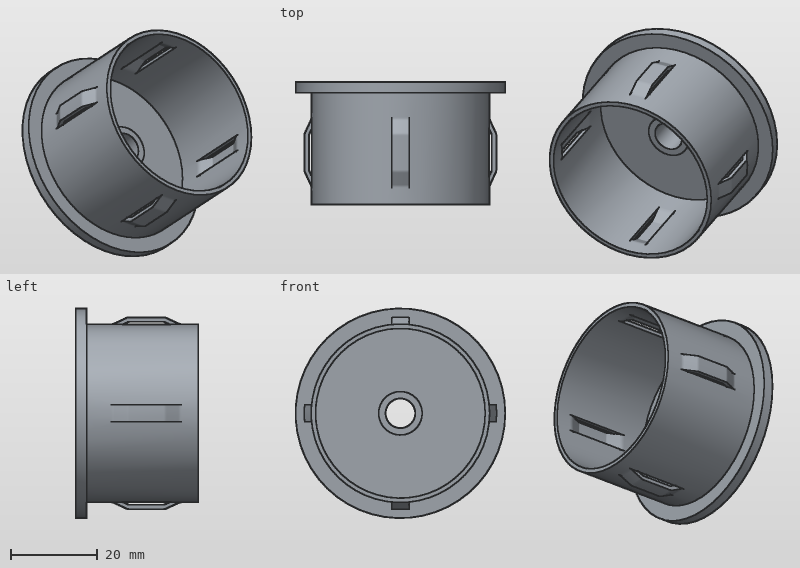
import cadquery as cq
import math

FLANGE_DIAMETER = 48.3
TOTAL_LENGTH = 28.2
FLANGE_THICKNESS = 2.5
SLEEVE_RADIUS = 20.55
WALL = 1.0

BOSS_DIAMETER = 10.0
BOSS_HEIGHT = 5.0
HOLE_DIAMETER = 6.75

CLIP_COUNT = 4
CLIP_WIDTH = 4.0
CLIP_LENGTH = 16.1
CLIP_END_GAP = 3.9
CLIP_RISE = 1.6
BEND_ANGLE = 25.0
BEND_RADIUS = 1.5

SLEEVE_LENGTH = TOTAL_LENGTH - FLANGE_THICKNESS
BORE_RADIUS = SLEEVE_RADIUS - WALL
CLIP_CENTRE_Y = CLIP_END_GAP + CLIP_LENGTH / 2
CLIP_TOP_RADIUS = SLEEVE_RADIUS + CLIP_RISE


def cylinder_along_y(radius, start, length):
    """Cylinder around the Y axis from y = start to y = start + length."""
    return cq.Workplane("XZ", origin=(0, start, 0)).circle(radius).extrude(-length)


def make_sleeve():
    """Open tube that carries the clips."""
    bore = cylinder_along_y(BORE_RADIUS, 0, SLEEVE_LENGTH)
    return cylinder_along_y(SLEEVE_RADIUS, 0, SLEEVE_LENGTH).cut(bore)


def make_plate():
    """Flange disc with the boss on its inner face and a hole through both."""
    boss_start = SLEEVE_LENGTH - BOSS_HEIGHT
    flange = cylinder_along_y(FLANGE_DIAMETER / 2, SLEEVE_LENGTH, FLANGE_THICKNESS)
    boss = cylinder_along_y(BOSS_DIAMETER / 2, boss_start, BOSS_HEIGHT)
    hole = cylinder_along_y(HOLE_DIAMETER / 2, boss_start, TOTAL_LENGTH - boss_start)
    return flange.union(boss).cut(hole)


def make_clip_block():
    """Block as wide and long as a clip, reaching from the axis past the clip top toward +Z."""
    block = cq.Workplane("XY", origin=(0, CLIP_CENTRE_Y, 0))
    return block.rect(CLIP_WIDTH, CLIP_LENGTH).extrude(CLIP_TOP_RADIUS + WALL)


def bend_points(centre, radius):
    """Flat end, middle and ramp end of a bend; a negative radius puts the bend below its centre."""
    along, out = centre
    angles = [math.radians(BEND_ANGLE * share) for share in (0, 0.5, 1)]
    return [(along - radius * math.sin(a), out + radius * math.cos(a)) for a in angles]


def make_clip():
    """Clip on the +Z side: foot, ramp and shoulder at each end, with a flat top between."""
    angle = math.radians(BEND_ANGLE)
    bend_run = BEND_RADIUS * math.sin(angle)
    bend_rise = BEND_RADIUS * (1 - math.cos(angle))
    ramp_run = (CLIP_RISE - 2 * bend_rise) / math.tan(angle)

    foot_along = -CLIP_LENGTH / 2
    foot_centre = (foot_along, SLEEVE_RADIUS + BEND_RADIUS)
    shoulder_centre = (foot_along + 2 * bend_run + ramp_run, CLIP_TOP_RADIUS - BEND_RADIUS)

    outer_foot = bend_points(foot_centre, -BEND_RADIUS)
    outer_shoulder = bend_points(shoulder_centre, BEND_RADIUS)
    inner_foot = bend_points(foot_centre, -(BEND_RADIUS + WALL))
    inner_shoulder = bend_points(shoulder_centre, BEND_RADIUS - WALL)

    half_section = (
        cq.Workplane("YZ", origin=(0, CLIP_CENTRE_Y, 0))
        .moveTo(*outer_foot[0])
        .threePointArc(outer_foot[1], outer_foot[2])
        .lineTo(*outer_shoulder[2])
        .threePointArc(outer_shoulder[1], outer_shoulder[0])
        .lineTo(0, CLIP_TOP_RADIUS)
        .lineTo(0, CLIP_TOP_RADIUS - WALL)
        .lineTo(*inner_shoulder[0])
        .threePointArc(inner_shoulder[1], inner_shoulder[2])
        .lineTo(*inner_foot[2])
        .threePointArc(inner_foot[1], inner_foot[0])
        .close()
    )
    half_ring = half_section.revolve(360, (0, 0, 0), (1, 0, 0))
    ring = half_ring.union(half_ring.mirror("XZ", (0, CLIP_CENTRE_Y, 0)))
    return ring.intersect(make_clip_block())


sleeve = make_sleeve()
slot = make_clip_block()
clip = make_clip()
for index in range(CLIP_COUNT):
    turn = index * 360 / CLIP_COUNT
    sleeve = sleeve.cut(slot.rotate((0, 0, 0), (0, 1, 0), turn))
    sleeve = sleeve.union(clip.rotate((0, 0, 0), (0, 1, 0), turn))

result = make_plate().union(sleeve)